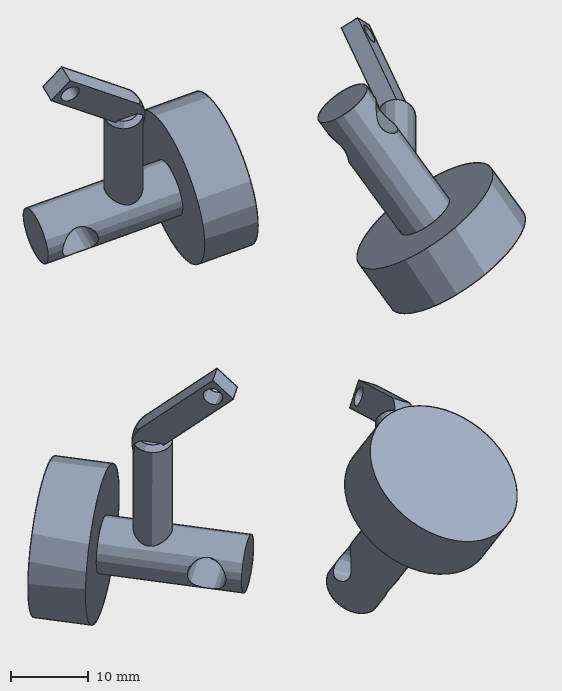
import cadquery as cq
import math

flange_diameter = 21.05
flange_thickness = 7.6
peg_diameter = 7.65
peg_length = 19.1

cross_hole_diameter = 5.07
cross_hole_y = -14.5

post_diameter = 5.07
post_y = -6.65
post_top_z = 19.15
post_chamfer = 0.7

arm_angle = 45.0
arm_width = 3.8
arm_thickness = 2.55
arm_hole_diameter = 2.55
arm_hole_y = -14.8
arm_hole_z = 28.05
arm_hole_to_dome = 11.45
dome_radius = 4.25


def cylinder_along_x(diameter, length, y, z):
    """Cylinder centred on X = 0."""
    return cq.Workplane("YZ").center(y, z).circle(diameter / 2).extrude(length / 2, both=True)


def make_flange_and_peg():
    flange = cq.Workplane("XZ").circle(flange_diameter / 2).extrude(-flange_thickness)
    peg = cq.Workplane("XZ").circle(peg_diameter / 2).extrude(peg_length)
    cross_hole = cylinder_along_x(cross_hole_diameter, flange_diameter, cross_hole_y, 0)
    return flange.union(peg).cut(cross_hole)


def make_post():
    post = cq.Workplane("XY").center(0, post_y).circle(post_diameter / 2).extrude(post_top_z)
    return post.faces(">Z").chamfer(post_chamfer)


def make_arm():
    hole_to_tip = arm_width / 2
    bar_length = hole_to_tip + arm_hole_to_dome
    bar = cq.Workplane("XY").box(arm_thickness, bar_length, arm_width)
    bar = bar.translate((0, bar_length / 2 - hole_to_tip, 0))

    dome_drop = math.sqrt(dome_radius**2 - (arm_thickness / 2) ** 2)
    dome_z = arm_width / 2 - dome_drop
    dome = cq.Workplane("XY").sphere(dome_radius).translate((0, arm_hole_to_dome, dome_z))
    root = cq.Workplane("XY").box(arm_thickness, dome_radius, arm_width)
    root = root.translate((0, arm_hole_to_dome + dome_radius / 2, 0)).intersect(dome)

    hole = cylinder_along_x(arm_hole_diameter, 2 * arm_thickness, 0, 0)
    arm = bar.union(root).cut(hole)
    arm = arm.rotate((0, 0, 0), (1, 0, 0), -arm_angle)
    return arm.translate((0, arm_hole_y, arm_hole_z))


result = make_flange_and_peg().union(make_post()).union(make_arm())